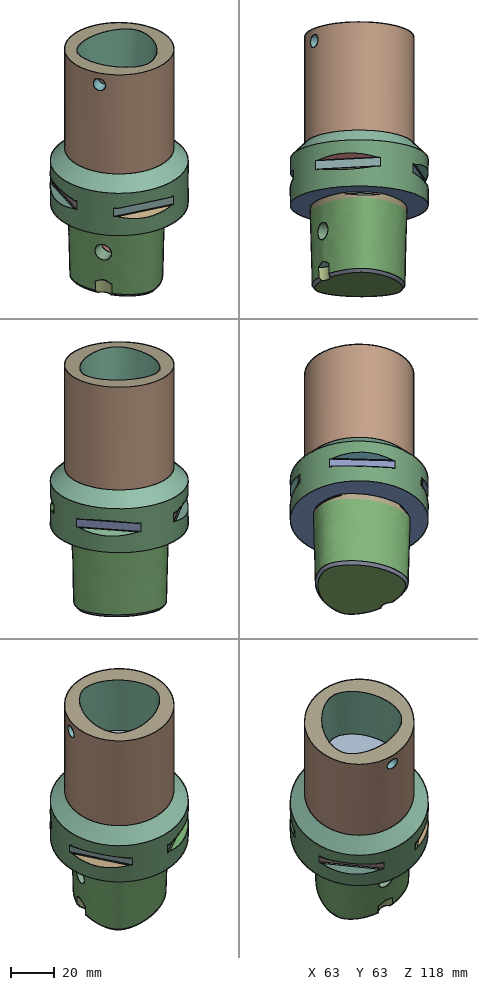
import cadquery as cq
import math

TAPER_TOP_Z = 35.0
FLANGE_BOTTOM_Z = 38.0
FLANGE_TOP_Z = 60.0
TOTAL_HEIGHT = 118.0

FLANGE_RADIUS = 31.5
SLEEVE_RADIUS = 25.0
SHOULDER_TOP_Z = FLANGE_TOP_Z + FLANGE_RADIUS - SLEEVE_RADIUS

TAPER_PER_SIDE = 1 / 40
LOBES = 3
POINTS_PER_LOBE = 16
FRONT_ANGLE = -90
BACK_ANGLE = 90

SHANK_MEAN_RADIUS = 22.05
SHANK_LOBE_HEIGHT = 1.45
SHANK_CHAMFER_HEIGHT = 1.5
SHANK_CHAMFER_WIDTH = 1.2

RELIEF_RADIUS = 22.3
RELIEF_CYLINDER_Z = 37.3
RELIEF_OUTER_RADIUS = SHANK_MEAN_RADIUS + 2 * SHANK_LOBE_HEIGHT

SOCKET_MEAN_RADIUS = 18.25
SOCKET_LOBE_HEIGHT = 1.2
SOCKET_DEPTH = 30.0

GROOVE_COUNT = 4
GROOVE_FIRST_ANGLE = 45
GROOVE_Z = 50.0
GROOVE_FLOOR_DISTANCE = 27.7
GROOVE_FLOOR_WIDTH = 4.2
GROOVE_FLARE_DEPTH = 3.05
GROOVE_FLARE_ANGLE = 30

SLEEVE_HOLE_DIAMETER = 6.0
SLEEVE_HOLE_DEPTH = 6.5
SLEEVE_HOLE_Z = 112.0

DRILL_POINT_ANGLE = 118
SHANK_HOLE_DIAMETER = 8.0
SHANK_HOLE_DEPTH = 10.0
SHANK_HOLE_Z = 22.5
NOTCH_RADIUS = 4.5
NOTCH_AXIS_Y = -21.5
NOTCH_HEIGHT = 6.3


def lobed_point(mean_radius, lobe_height, degrees):
    """Point of the lobed outline whose outward normal has the given direction."""
    angle = math.radians(degrees)
    phase = LOBES * math.radians(degrees - BACK_ANGLE)
    distance = mean_radius + lobe_height * math.cos(phase)
    slide = -LOBES * lobe_height * math.sin(phase)
    x = distance * math.cos(angle) - slide * math.sin(angle)
    y = distance * math.sin(angle) + slide * math.cos(angle)
    return (x, y)


def lobed_wire(mean_radius, lobe_height, z, seam_angle):
    """Closed lobed outline at height z, with its seam at the given angle."""
    count = LOBES * POINTS_PER_LOBE
    angles = [seam_angle + 360 * i / count for i in range(count)]
    points = [cq.Vector(*lobed_point(mean_radius, lobe_height, a), z) for a in angles]
    return cq.Wire.assembleEdges([cq.Edge.makeSpline(points, periodic=True)])


def lobed_solid(lower, upper):
    """Straight-sided solid between two lobed outlines."""
    return cq.Workplane(cq.Solid.makeLoft([lower, upper], True))


def revolve_profile(points):
    """Solid turned about Z from (radius, z) points."""
    return cq.Workplane("XZ").polyline(points).close().revolve(360, (0, 0), (0, 1))


def drill(radius, depth):
    """Drill shape along +Z from the origin, its conical tip beyond the depth."""
    tip_height = radius / math.tan(math.radians(DRILL_POINT_ANGLE / 2))
    return revolve_profile([(0, 0), (radius, 0), (radius, depth), (0, depth + tip_height)])


def make_body():
    return revolve_profile([
        (0, FLANGE_BOTTOM_Z),
        (FLANGE_RADIUS, FLANGE_BOTTOM_Z),
        (FLANGE_RADIUS, FLANGE_TOP_Z),
        (SLEEVE_RADIUS, SHOULDER_TOP_Z),
        (SLEEVE_RADIUS, TOTAL_HEIGHT),
        (0, TOTAL_HEIGHT),
    ])


def make_shank():
    taper_height = TAPER_TOP_Z - SHANK_CHAMFER_HEIGHT
    lower_radius = SHANK_MEAN_RADIUS - taper_height * TAPER_PER_SIDE
    end_radius = lower_radius - SHANK_CHAMFER_WIDTH
    sections = [
        lobed_wire(radius, SHANK_LOBE_HEIGHT, z, FRONT_ANGLE)
        for radius, z in (
            (end_radius, 0),
            (lower_radius, SHANK_CHAMFER_HEIGHT),
            (SHANK_MEAN_RADIUS, TAPER_TOP_Z),
            (SHANK_MEAN_RADIUS, FLANGE_BOTTOM_Z),
        )
    ]
    shank = lobed_solid(sections[0], sections[1])
    for lower, upper in zip(sections[1:], sections[2:]):
        shank = shank.union(lobed_solid(lower, upper))
    return shank.cut(make_relief())


def make_relief():
    """Ring with a 45 degree lower face that only reaches the lobes."""
    cone_z = RELIEF_CYLINDER_Z - (RELIEF_OUTER_RADIUS - RELIEF_RADIUS)
    return revolve_profile([
        (RELIEF_RADIUS, FLANGE_BOTTOM_Z),
        (RELIEF_RADIUS, RELIEF_CYLINDER_Z),
        (RELIEF_OUTER_RADIUS, cone_z),
        (RELIEF_OUTER_RADIUS, FLANGE_BOTTOM_Z),
    ])


def make_socket():
    floor_radius = SOCKET_MEAN_RADIUS - SOCKET_DEPTH * TAPER_PER_SIDE
    floor_z = TOTAL_HEIGHT - SOCKET_DEPTH
    floor = lobed_wire(floor_radius, SOCKET_LOBE_HEIGHT, floor_z, BACK_ANGLE)
    mouth = lobed_wire(SOCKET_MEAN_RADIUS, SOCKET_LOBE_HEIGHT, TOTAL_HEIGHT, BACK_ANGLE)
    return lobed_solid(floor, mouth)


def make_gripper_groove(angle):
    """Straight flat-floored groove with flared sides, facing the given angle."""
    half_floor = GROOVE_FLOOR_WIDTH / 2
    half_mouth = half_floor + GROOVE_FLARE_DEPTH * math.tan(math.radians(GROOVE_FLARE_ANGLE))
    flare_distance = FLANGE_RADIUS - GROOVE_FLARE_DEPTH
    profile = [
        (GROOVE_FLOOR_DISTANCE, GROOVE_Z - half_floor),
        (flare_distance, GROOVE_Z - half_floor),
        (FLANGE_RADIUS, GROOVE_Z - half_mouth),
        (FLANGE_RADIUS, GROOVE_Z + half_mouth),
        (flare_distance, GROOVE_Z + half_floor),
        (GROOVE_FLOOR_DISTANCE, GROOVE_Z + half_floor),
    ]
    groove = cq.Workplane("XZ").polyline(profile).close().extrude(FLANGE_RADIUS, both=True)
    return groove.rotate((0, 0, 0), (0, 0, 1), angle)


def make_sleeve_hole():
    return (
        cq.Workplane("XZ", origin=(0, -SLEEVE_RADIUS, SLEEVE_HOLE_Z))
        .circle(SLEEVE_HOLE_DIAMETER / 2)
        .extrude(-SLEEVE_HOLE_DEPTH)
    )


def make_shank_hole():
    hole = drill(SHANK_HOLE_DIAMETER / 2, SHANK_HOLE_DEPTH)
    hole = hole.rotate((0, 0, 0), (1, 0, 0), -90)
    return hole.translate((0, -SHANK_MEAN_RADIUS, SHANK_HOLE_Z))


def make_end_notch():
    """Drilled notch running up from the lower end, breaking out of the front of the shank."""
    return drill(NOTCH_RADIUS, NOTCH_HEIGHT).translate((0, NOTCH_AXIS_Y, 0))


shank = make_shank().cut(make_shank_hole()).cut(make_end_notch())
result = make_body().union(shank).cut(make_socket()).cut(make_sleeve_hole())
for groove_index in range(GROOVE_COUNT):
    groove_angle = GROOVE_FIRST_ANGLE + groove_index * 360 / GROOVE_COUNT
    result = result.cut(make_gripper_groove(groove_angle))